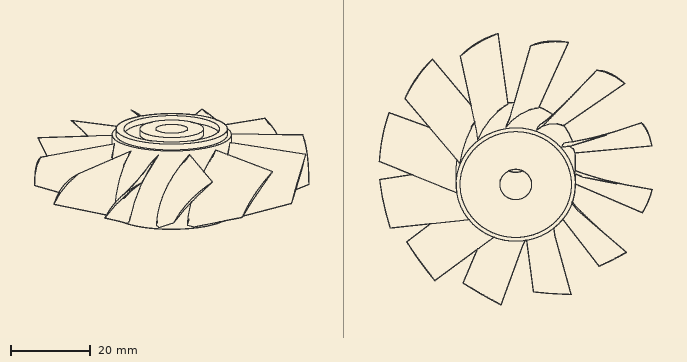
import cadquery as cq
import math

core_diameter = 28.0
core_height = 22.0
bore_diameter = 8.0
boss_diameter = 16.0
recess_diameter = 24.0
recess_depth = 1.5

hub_diameter = 30.0
hub_height = core_height - recess_depth
tip_diameter = 69.0
blade_count = 12

root_distance = hub_diameter / 2
tip_distance = tip_diameter / 2
root_overlap = 2.5

root_leading_z = 19.4
root_trailing_z = 1.0
root_width = 8.0
root_upper_bulge = 1.85
root_lower_bulge = 1.0

tip_leading_z = 17.5
tip_trailing_z = 7.8
tip_width = 9.95
tip_upper_bulge = 0.9
tip_lower_bulge = 0.35


def make_core():
    body = cq.Workplane("XY").circle(core_diameter / 2).extrude(core_height)
    recess = (
        cq.Workplane("XY", origin=(0, 0, core_height))
        .circle(recess_diameter / 2)
        .circle(boss_diameter / 2)
        .extrude(-recess_depth)
    )
    bore = cq.Workplane("XY").circle(bore_diameter / 2).extrude(core_height)
    return body.cut(recess).cut(bore)


def crescent(distance, leading_z, trailing_z, width, upper_bulge, lower_bulge):
    """Closed wire of two arcs with common ends, in the plane at X = distance."""
    leading = cq.Vector(distance, 0, leading_z)
    trailing = cq.Vector(distance, -width, trailing_z)
    chord = math.hypot(width, leading_z - trailing_z)
    upward = cq.Vector(0, trailing_z - leading_z, width) * (1 / chord)
    middle = (leading + trailing) * 0.5
    upper = cq.Edge.makeThreePointArc(leading, middle + upward * upper_bulge, trailing)
    lower = cq.Edge.makeThreePointArc(trailing, middle + upward * lower_bulge, leading)
    return cq.Wire.assembleEdges([upper, lower])


def make_blade():
    """Blade along +X: a twisted loft, trimmed round at the tip, with a straight root."""
    root = crescent(
        root_distance, root_leading_z, root_trailing_z, root_width, root_upper_bulge, root_lower_bulge
    )
    tip = crescent(
        tip_distance, tip_leading_z, tip_trailing_z, tip_width, tip_upper_bulge, tip_lower_bulge
    )
    vane = cq.Workplane(cq.Solid.makeLoft([root, tip], True))
    stub = cq.Workplane(cq.Solid.extrudeLinear(root, [], cq.Vector(-root_overlap, 0, 0)))
    tip_trim = cq.Workplane("XY").circle(tip_diameter / 2).extrude(core_height)
    return vane.intersect(tip_trim).union(stub)


def make_fan():
    fan = cq.Workplane("XY").circle(hub_diameter / 2).extrude(hub_height)
    blade = make_blade()
    for index in range(blade_count):
        fan = fan.union(blade.rotate((0, 0, 0), (0, 0, 1), index * 360 / blade_count))
    core_seat = cq.Workplane("XY").circle(core_diameter / 2).extrude(hub_height)
    return fan.cut(core_seat).solids()


core = make_core()
fan = make_fan()

result = cq.Compound.makeCompound([core.val(), fan.val()])